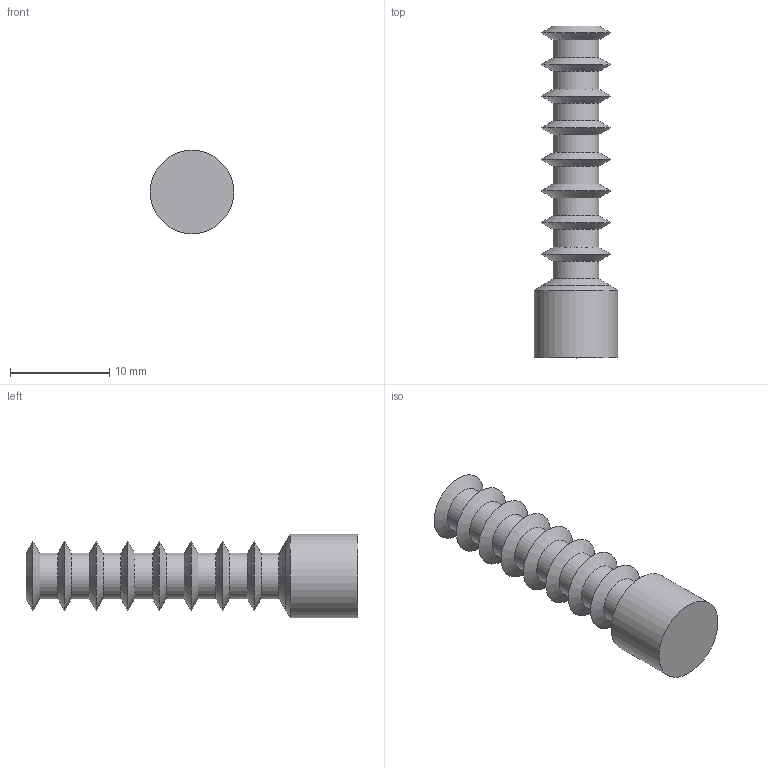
import cadquery as cq
import math


head_diameter = 8.4
head_length = 6.8
shoulder_length = 0.45
core_diameter = 4.6
rib_diameter = 7.0
rib_count = 8
rib_pitch = 3.18
flank_angle = 30.0

head_radius = head_diameter / 2
core_radius = core_diameter / 2
rib_radius = rib_diameter / 2
flank_length = (rib_radius - core_radius) * math.tan(math.radians(flank_angle))
land_length = rib_pitch - 2 * flank_length

shoulder_start = head_length
shoulder_crest = shoulder_start + shoulder_length
shoulder_end = shoulder_crest + flank_length


def make_head():
    """Cylindrical head with a two-step conical shoulder tapering onto the core."""
    profile = [
        (0, 0),
        (-head_radius, 0),
        (-head_radius, shoulder_start),
        (-rib_radius, shoulder_crest),
        (-core_radius, shoulder_end),
        (0, shoulder_end),
    ]
    return cq.Workplane("XY").polyline(profile).close().revolve(360, (0, 0), (0, 1))


def make_shank_segment(start):
    """One bare land followed by one sharp-crested rib, beginning at Y = start."""
    rib_start = start + land_length
    rib_crest = rib_start + flank_length
    rib_end = rib_crest + flank_length
    profile = [
        (0, start),
        (-core_radius, start),
        (-core_radius, rib_start),
        (-rib_radius, rib_crest),
        (-core_radius, rib_end),
        (0, rib_end),
    ]
    return cq.Workplane("XY").polyline(profile).close().revolve(360, (0, 0), (0, 1))


result = make_head()
for index in range(rib_count):
    result = result.union(make_shank_segment(shoulder_end + index * rib_pitch))